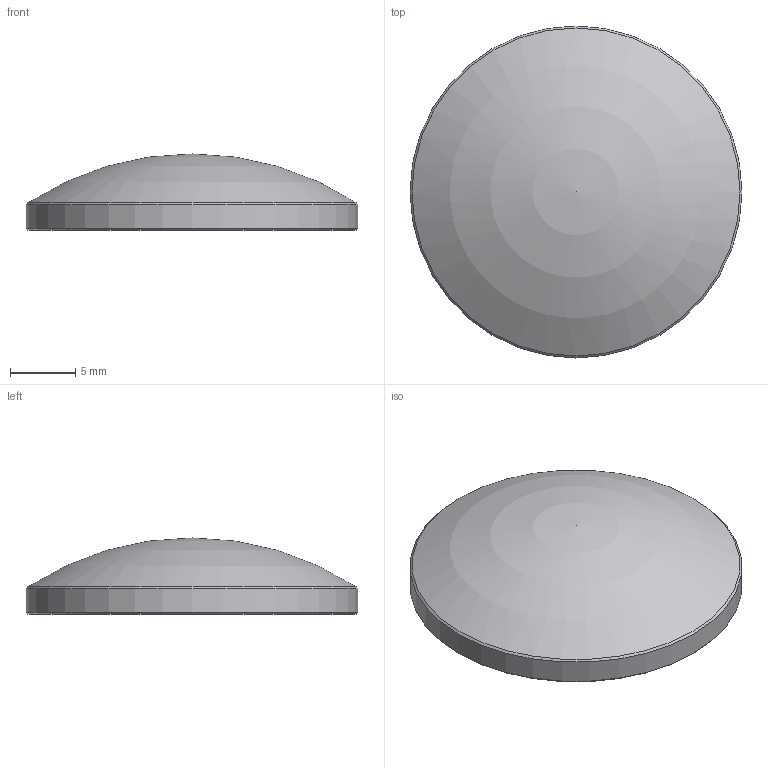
import cadquery as cq
import math

diameter = 25.4
center_thickness = 5.82
edge_thickness = 2.0
bevel = 0.15

rim_radius = diameter / 2
dome_height = center_thickness - edge_thickness
sphere_radius = (rim_radius**2 + dome_height**2) / (2 * dome_height)
sphere_center_z = center_thickness - sphere_radius


def dome_z(radius):
    """Height of the convex face at a distance from the optical axis."""
    return sphere_center_z + math.sqrt(sphere_radius**2 - radius**2)


def lens_body():
    """Revolve the half section, with both rim bevels, about the Z axis."""
    face_radius = rim_radius - bevel
    bevel_top_z = dome_z(face_radius)
    middle_radius = face_radius / 2
    section = (
        cq.Workplane("XZ")
        .lineTo(face_radius, 0)
        .lineTo(rim_radius, bevel)
        .lineTo(rim_radius, bevel_top_z - bevel)
        .lineTo(face_radius, bevel_top_z)
        .threePointArc((middle_radius, dome_z(middle_radius)), (0, center_thickness))
        .close()
    )
    return section.revolve(360, (0, 0, 0), (0, 1, 0))


result = lens_body()